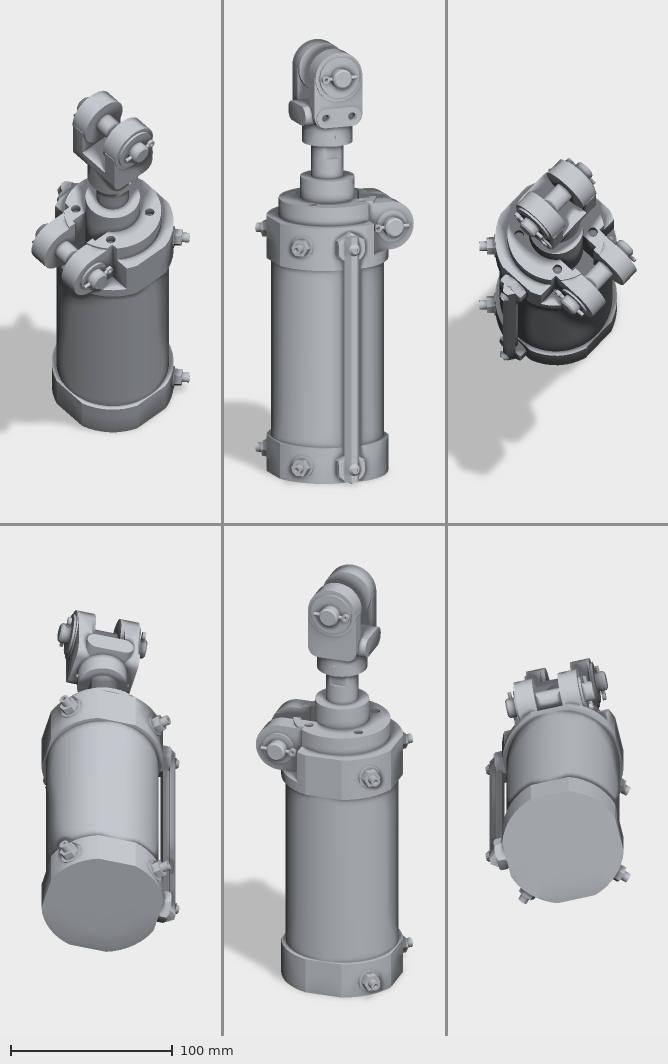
import cadquery as cq
import math

total_height = 269.5

cap_diameter = 75.5
cap_across_flats = 71.7
tube_diameter = 69.8
cover_diameter = 60.0
guide_diameter = 33.7
bottom_cap_top = 22.6
top_cap_bottom = 135.3
top_cap_top = 162.2
cover_top = 173.5
guide_top = 187.3
cover_screw_offset = 16.2
cover_screw_diameter = 6.0
cover_screw_depth = 5.5

lug_outer_width = 40.0
lug_gap = 16.2
pin_diameter = 12.0
lug_radius = 15.0
lug_pin_y = -34.5
lug_pin_z = 156.8
pocket_wall_y = -18.0
slot_floor_z = 139.5
slot_wide_width = 21.0
slot_wide_end_y = -24.0

port_heights = (10.2, 149.8)
port_collar_diameter = 13.7
port_collar_end = 38.3
port_hex_corners = 11.0
port_hex_end = 42.9
port_pipe_diameter = 6.0
port_pipe_end = 47.5
port_bore_diameter = 3.0
port_bore_depth = 4.0
post_hex_corners = 20.0
post_hex_end = 42.0
post_chamfer = 1.0

rail_front_x = 46.4
rail_front_width = 3.8
rail_width = 9.7
rail_overhang = 8.0
rail_rib_x = 38.0
rail_rib_width = 6.5
rail_rib_bottom_gap = 10.2
rail_rib_top_gap = 11.5
screw_head_diameter = 7.5
screw_head_height = 2.5
screw_head_tip = 4.3
screw_socket_diameter = 3.0
screw_socket_depth = 1.3

rod_diameter = 20.0
rod_thread_diameter = 16.0
rod_thread_tip = 14.3
rod_flats_width = 16.7
rod_flats_bottom = 199.7

fork_hub_bottom = 209.0
fork_base_bottom = 222.3
fork_slot_floor = 234.5
fork_hub_diameter = 31.3
fork_disc_diameter = 31.0
fork_pin_z = total_height - fork_disc_diameter / 2
fork_arm_outer_width = 38.3
fork_slot_width = 21.0
fork_depth = 31.5
fork_base_round = 6.7
pad_hole_spacing = 17.2
pad_side_x = 20.2
pad_back_y = 20.2
pad_hole_diameter = 4.9
pad_hole_rim = 6.0
pad_hole_depth = 5.5

cross_pin_length = 55.0
cross_pin_chamfer = 1.0
washer_thickness = 1.3
fork_washer_diameter = 26.0
lug_washer_diameter = 20.0
cotter_x = 23.7
cotter_diameter = 2.3
cotter_leg_end = 10.2
cotter_eye_diameter = 4.9
cotter_eye_hole = 2.3
cotter_eye_thickness = 2.2
cotter_eye_y = 10.2

spring_pin_diameter = 2.3
spring_pin_length = 33.5
spring_pin_z = 215.3


def rod_along_z(diameter, bottom, top):
    return cq.Workplane("XY").workplane(offset=bottom).circle(diameter / 2).extrude(top - bottom)


def rod_along_x(diameter, start, end, y, z):
    return cq.Workplane("YZ", origin=(start, y, z)).circle(diameter / 2).extrude(end - start)


def rod_along_y(diameter, start, end, x, z):
    return cq.Workplane("XZ", origin=(x, start, z)).circle(diameter / 2).extrude(start - end)


def block(x_range, y_range, z_range):
    sizes = [high - low for low, high in (x_range, y_range, z_range)]
    corner = (x_range[0], y_range[0], z_range[0])
    return cq.Workplane("XY").box(*sizes, centered=False).translate(corner)


def radial_plane(direction, distance, z):
    """Plane facing outward along a horizontal direction, with local X up."""
    origin = (direction[0] * distance, direction[1] * distance, z)
    return cq.Plane(origin=origin, xDir=(0, 0, 1), normal=(direction[0], direction[1], 0))


def round_bar(direction, start, end, diameter, z):
    plane = radial_plane(direction, start, z)
    return cq.Workplane(plane).circle(diameter / 2).extrude(end - start)


def flatted_cap(bottom, top):
    square = cq.Workplane("XY").workplane(offset=bottom).rect(cap_across_flats, cap_across_flats)
    return rod_along_z(cap_diameter, bottom, top).intersect(square.extrude(top - bottom))


def lug_block():
    """Rounded lug across the full lug width, before the slot is cut."""
    half = lug_outer_width / 2
    return (
        cq.Workplane("YZ", origin=(-half, 0, 0))
        .moveTo(0, lug_pin_z - lug_radius)
        .lineTo(lug_pin_y, lug_pin_z - lug_radius)
        .threePointArc((lug_pin_y - lug_radius, lug_pin_z), (lug_pin_y, lug_pin_z + lug_radius))
        .lineTo(0, lug_pin_z + lug_radius)
        .close()
        .extrude(lug_outer_width)
    )


def side_pockets():
    """Open pockets that clear the cross pin on both outer sides of the lugs."""
    inner = lug_outer_width / 2
    outer = cap_diameter
    y_range = (-outer, pocket_wall_y)
    z_range = (lug_pin_z - lug_radius, cover_top)
    return block((inner, outer), y_range, z_range).union(block((-outer, -inner), y_range, z_range))


def lug_slot():
    """Slot between the lugs, wider near the rod guide."""
    z_range = (slot_floor_z, cover_top)
    narrow = block((-lug_gap / 2, lug_gap / 2), (lug_pin_y - lug_radius, 0), z_range)
    wide = block((-slot_wide_width / 2, slot_wide_width / 2), (slot_wide_end_y, 0), z_range)
    return narrow.union(wide)


def port(direction, z):
    """Round collar, hexagon with a flat side up and bored pipe stub, on one axis."""
    start = tube_diameter / 2
    flat_side_up = 180 / 6
    hex_plane = radial_plane(direction, start, z).rotated((0, 0, flat_side_up))
    fitting = cq.Workplane(hex_plane).polygon(6, port_hex_corners).extrude(port_hex_end - start)
    fitting = fitting.union(round_bar(direction, start, port_collar_end, port_collar_diameter, z))
    fitting = fitting.union(round_bar(direction, start, port_pipe_end, port_pipe_diameter, z))
    bore_bottom = port_pipe_end - port_bore_depth
    return fitting.cut(round_bar(direction, bore_bottom, port_pipe_end, port_bore_diameter, z))


def rail_post(z):
    """Hexagonal post on the -X flat, with its corners chamfered at both ends."""
    ends = (cap_across_flats / 2, post_hex_end)
    envelope = round_bar((-1, 0), *ends, post_hex_corners, z).edges("%CIRCLE").chamfer(post_chamfer)
    hexagon = cq.Workplane(radial_plane((-1, 0), ends[0], z)).polygon(6, post_hex_corners)
    return hexagon.extrude(ends[1] - ends[0]).intersect(envelope)


def make_housing():
    body = flatted_cap(0, bottom_cap_top)
    body = body.union(rod_along_z(tube_diameter, bottom_cap_top, top_cap_bottom))
    body = body.union(flatted_cap(top_cap_bottom, top_cap_top))
    body = body.union(rod_along_z(cover_diameter, top_cap_top, cover_top))
    body = body.cut(side_pockets()).union(lug_block()).cut(lug_slot())
    body = body.union(rod_along_z(guide_diameter, top_cap_bottom, guide_top))

    diagonal = math.sqrt(0.5)
    for z in port_heights:
        body = body.union(rail_post(z))
        for side in (-1, 1):
            body = body.union(port((side * diagonal, diagonal), z))

    half = lug_outer_width / 2
    body = body.cut(rod_along_x(pin_diameter, -half, half, lug_pin_y, lug_pin_z))
    for x in (-cover_screw_offset, cover_screw_offset):
        for y in (-cover_screw_offset, cover_screw_offset):
            hole = rod_along_z(cover_screw_diameter, cover_top - cover_screw_depth, cover_top)
            body = body.cut(hole.translate((x, y, 0)))
    return body.cut(rod_along_z(rod_diameter, top_cap_bottom, guide_top))


def make_rail():
    bottom = port_heights[0] - rail_overhang
    top = port_heights[1] + rail_overhang
    bar = (
        cq.Workplane("XY", origin=(0, 0, bottom))
        .polyline([
            (-rail_front_x, -rail_front_width / 2),
            (-post_hex_end, -rail_width / 2),
            (-post_hex_end, rail_width / 2),
            (-rail_front_x, rail_front_width / 2),
        ])
        .close()
        .extrude(top - bottom)
    )
    rib = block(
        (-post_hex_end, -rail_rib_x),
        (-rail_rib_width / 2, rail_rib_width / 2),
        (port_heights[0] + rail_rib_bottom_gap, port_heights[1] - rail_rib_top_gap),
    )
    rail = bar.union(rib)
    for z in port_heights:
        head = (
            cq.Workplane(radial_plane((-1, 0), rail_front_x, z))
            .circle(screw_head_diameter / 2)
            .workplane(offset=screw_head_height)
            .circle(screw_head_tip / 2)
            .loft()
        )
        tip = -rail_front_x - screw_head_height
        rail = rail.union(head)
        rail = rail.cut(rod_along_x(screw_socket_diameter, tip, tip + screw_socket_depth, 0, z))
    return rail


def make_piston_rod():
    shank = rod_along_z(rod_diameter, top_cap_bottom, fork_hub_bottom)
    flats = (
        cq.Workplane("XY", origin=(0, 0, rod_flats_bottom))
        .rect(rod_diameter, rod_diameter)
        .rect(rod_flats_width, rod_diameter)
        .extrude(fork_hub_bottom - rod_flats_bottom)
    )
    thread = rod_along_z(rod_thread_diameter, fork_hub_bottom, fork_slot_floor)
    thread = thread.faces(">Z").chamfer((rod_thread_diameter - rod_thread_tip) / 2)
    return shank.cut(flats).union(thread).cut(make_spring_pin())


def pad_outline(workplane):
    height = fork_slot_floor - fork_base_bottom
    return workplane.slot2D(pad_hole_spacing + height, height)


def make_fork():
    arm_half = fork_arm_outer_width / 2
    depth_half = fork_depth / 2
    pad_z = (fork_base_bottom + fork_slot_floor) / 2

    body = block((-arm_half, arm_half), (-depth_half, depth_half), (fork_base_bottom, fork_pin_z))
    body = body.faces("<Z").edges("|X").fillet(fork_base_round)
    body = body.union(rod_along_z(fork_hub_diameter, fork_hub_bottom, fork_slot_floor))
    slot_half = fork_slot_width / 2
    body = body.cut(
        block((-slot_half, slot_half), (-depth_half, depth_half), (fork_slot_floor, fork_pin_z))
    )
    for start in (-lug_outer_width / 2, lug_gap / 2):
        end = start + (lug_outer_width - lug_gap) / 2
        body = body.union(rod_along_x(fork_disc_diameter, start, end, 0, fork_pin_z))

    side_pad = pad_outline(cq.Workplane("YZ", origin=(-pad_side_x, 0, pad_z)))
    body = body.union(side_pad.extrude(pad_side_x - slot_half))
    back_pad = pad_outline(cq.Workplane("XZ", origin=(0, pad_back_y, pad_z)))
    body = body.union(back_pad.extrude(pad_back_y - slot_half))

    for y in (-pad_hole_spacing / 2, pad_hole_spacing / 2):
        rim_depth = (pad_hole_rim - pad_hole_diameter) / 2
        hole = rod_along_x(pad_hole_diameter, -pad_side_x, -pad_side_x + pad_hole_depth, y, pad_z)
        rim = rod_along_x(pad_hole_rim, -pad_side_x, -pad_side_x + rim_depth, y, pad_z)
        body = body.cut(hole).cut(rim)

    disc_half = lug_outer_width / 2
    body = body.cut(rod_along_x(pin_diameter, -disc_half, disc_half, 0, fork_pin_z))
    return body.cut(make_piston_rod()).cut(make_spring_pin())


def make_spring_pin():
    half = spring_pin_length / 2
    return rod_along_x(spring_pin_diameter, -half, half, 0, spring_pin_z)


def make_cotter():
    """Straight leg along Y that ends in a flat eye."""
    eye_near_y = cotter_eye_y - (cotter_eye_diameter + cotter_eye_hole) / 4
    leg = rod_along_y(cotter_diameter, -cotter_leg_end, eye_near_y, 0, 0)
    half = cotter_eye_thickness / 2
    eye = rod_along_x(cotter_eye_diameter, -half, half, cotter_eye_y, 0)
    return leg.union(eye.cut(rod_along_x(cotter_eye_hole, -half, half, cotter_eye_y, 0)))


def make_cross_pin(y, z, washer_diameter):
    """Plain pin with a washer and a cotter at each end."""
    half = cross_pin_length / 2
    pin = rod_along_x(pin_diameter, -half, half, 0, 0).faces("<X or >X").chamfer(cross_pin_chamfer)
    washer_inner = lug_outer_width / 2
    washer_outer = washer_inner + washer_thickness
    for side in (-1, 1):
        x_ends = sorted((side * washer_inner, side * washer_outer))
        pin = pin.union(rod_along_x(washer_diameter, *x_ends, 0, 0))
        pin = pin.union(make_cotter().translate((side * cotter_x, 0, 0)))
    return pin.translate((0, y, z))


housing = make_housing()
rail = make_rail()
piston_rod = make_piston_rod()
fork = make_fork()
spring_pin = make_spring_pin()
lug_pin = make_cross_pin(lug_pin_y, lug_pin_z, lug_washer_diameter)
fork_pin = make_cross_pin(0, fork_pin_z, fork_washer_diameter)

result = cq.Compound.makeCompound([
    housing.val(), rail.val(), piston_rod.val(), fork.val(),
    spring_pin.val(), lug_pin.val(), fork_pin.val(),
])